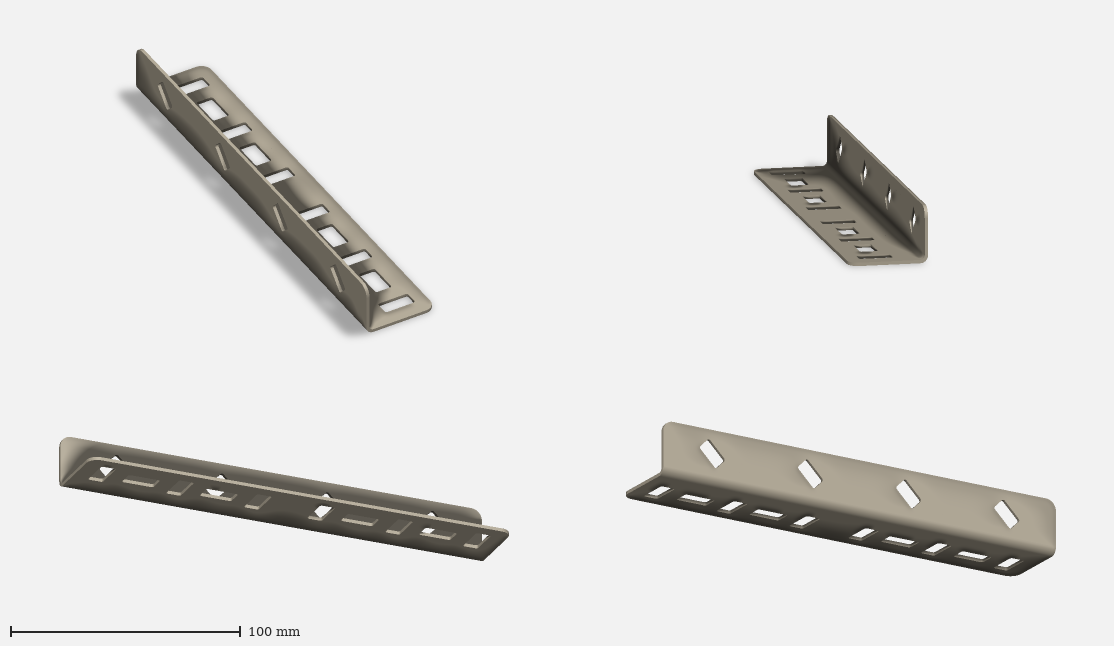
import cadquery as cq

length = 200.0
base_depth = 35.0
upright_height = 25.0
thickness = 1.5
bend_inner_radius = 2.0
bend_outer_radius = bend_inner_radius + thickness
corner_radius = 5.0

slot_corner_radius = 1.0

slot_length = 15.0
cross_slot_width = 7.0
long_slot_width = 8.0
slot_edge_margin = 6.0
base_slot_y = base_depth - slot_edge_margin - slot_length / 2
innermost_slot_x = 15.0
cross_slot_pitch = 37.0
cross_slots_per_side = 3

tilted_slot_length = 12.0
tilted_slot_width = 7.0
tilted_slot_angle = 45
tilted_slot_pitch = 50.0
tilted_slot_count = 4
tilted_slot_z = 14.0


def bent_sheet():
    """L-shaped sheet, outer faces on Y = 0 and Z = 0, centred on X = 0."""
    return (
        cq.Workplane("YZ", origin=(-length / 2, 0, 0))
        .moveTo(base_depth, 0)
        .lineTo(bend_outer_radius, 0)
        .radiusArc((0, bend_outer_radius), bend_outer_radius)
        .lineTo(0, upright_height)
        .lineTo(thickness, upright_height)
        .lineTo(thickness, bend_outer_radius)
        .radiusArc((bend_outer_radius, thickness), -bend_inner_radius)
        .lineTo(base_depth, thickness)
        .close()
        .extrude(length)
    )


def round_free_corners(sheet):
    """Round the two free corners of each flange."""
    base_corners = cq.selectors.BoxSelector(
        (-length, base_depth - thickness, -thickness), (length, base_depth + thickness, 2 * thickness)
    )
    upright_corners = cq.selectors.BoxSelector(
        (-length, -thickness, upright_height - thickness), (length, 2 * thickness, upright_height + thickness)
    )
    sheet = sheet.edges("|Z").edges(base_corners).fillet(corner_radius)
    return sheet.edges("|Y").edges(upright_corners).fillet(corner_radius)


def base_slot(x, size_x, size_y):
    """Cutter for a round-cornered slot through the base flange."""
    slot = cq.Workplane("XY").box(size_x, size_y, thickness, centered=(True, True, False))
    return slot.edges("|Z").fillet(slot_corner_radius).translate((x, base_slot_y, 0))


def tilted_slot(x):
    """Cutter for a round-cornered tilted slot through the upright flange."""
    slot = cq.Workplane("XY").box(
        tilted_slot_length, thickness, tilted_slot_width, centered=(True, False, True)
    )
    slot = slot.edges("|Y").fillet(slot_corner_radius)
    slot = slot.rotate((0, 0, 0), (0, 1, 0), tilted_slot_angle)
    return slot.translate((x, 0, tilted_slot_z))


result = round_free_corners(bent_sheet())

for side in (-1, 1):
    for index in range(cross_slots_per_side):
        cross_x = innermost_slot_x + index * cross_slot_pitch
        result = result.cut(base_slot(side * cross_x, cross_slot_width, slot_length))
    for index in range(cross_slots_per_side - 1):
        long_x = innermost_slot_x + (index + 0.5) * cross_slot_pitch
        result = result.cut(base_slot(side * long_x, slot_length, long_slot_width))

for index in range(tilted_slot_count):
    tilted_x = (index - (tilted_slot_count - 1) / 2) * tilted_slot_pitch
    result = result.cut(tilted_slot(tilted_x))